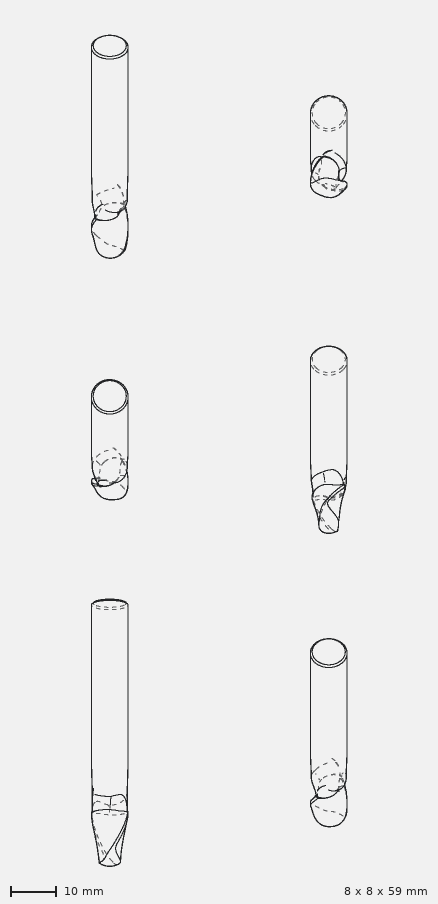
import cadquery as cq
import math

overall_length = 59.0
shank_diameter = 8.0
shank_radius = shank_diameter / 2
top_chamfer = 0.4

cutter_length = 12.05
neck_top = 17.0
taper_top = 23.0
neck_radius = 3.85

helix_angle = 30.0
helix_pitch = math.pi * shank_diameter / math.tan(math.radians(helix_angle))
cutter_twist = 360 * cutter_length / helix_pitch

land_start_angle = 8.0
land_end_angle = 18.0
back_bulge = (2.6, -0.7)
flute_shoulder = (2.2, 0.8)
rake_root = (1.2, 1.9)
rake_middle = (0.35, 2.55)
rake_edge = (-0.1, 3.25)

runout_radius = 3.35
runout_axis_x = back_bulge[0] + runout_radius
runout_tilt = 27.0
runout_heel = (0.55, -3.9)
runout_angle = 90
flute_margin = 1.2
flute_count = 2


def land_point(angle, radius):
    """Point at an angle from -Y towards +X."""
    turn = math.radians(angle)
    return (radius * math.sin(turn), -radius * math.cos(turn))


def opposite(point):
    return (-point[0], -point[1])


land_start = land_point(land_start_angle, shank_radius)
land_end = land_point(land_end_angle, shank_radius)
land_middle = land_point((land_start_angle + land_end_angle) / 2, shank_radius)


def add_flute_side(sketch, place):
    """Draw from the heel behind one land along the flute to the next cutting edge."""
    return (
        sketch.threePointArc(place(back_bulge), place(flute_shoulder))
        .lineTo(*place(rake_root))
        .threePointArc(place(rake_middle), place(rake_edge))
        .lineTo(*place(opposite(land_start)))
    )


def same(point):
    return point


def make_cutter():
    section = cq.Workplane("XY").moveTo(*land_start)
    for place in (same, opposite):
        section = section.threePointArc(place(land_middle), place(land_end))
        section = add_flute_side(section, place)
    fluted_bar = (
        section.close()
        .twistExtrude(cutter_length, cutter_twist)
        .rotate((0, 0, 0), (0, 0, 1), -cutter_twist)
    )
    ball_envelope = (
        cq.Workplane("XZ")
        .moveTo(0, 0)
        .threePointArc(
            (shank_radius * math.sqrt(0.5), shank_radius * (1 - math.sqrt(0.5))),
            (shank_radius, shank_radius),
        )
        .lineTo(shank_radius, cutter_length)
        .lineTo(0, cutter_length)
        .close()
        .revolve(360, (0, 0, 0), (0, 1, 0))
    )
    return fluted_bar.intersect(ball_envelope)


def make_flute_runout():
    """Void of the +X flute, swept upwards and outwards about the runout axis."""
    outer_y = shank_radius + flute_margin
    axis_shift = outer_y * math.tan(math.radians(runout_tilt))
    axis_start = (runout_axis_x + axis_shift, -outer_y)
    axis_end = (runout_axis_x - axis_shift, outer_y)
    void = cq.Workplane("XY").workplane(offset=cutter_length)
    void = void.moveTo(*axis_start).lineTo(runout_heel[0], -outer_y).lineTo(*runout_heel)
    return (
        add_flute_side(void, same)
        .lineTo(-land_start[0], outer_y)
        .lineTo(*axis_end)
        .close()
        .revolve(runout_angle, axis_start, axis_end)
    )


def make_shank():
    shank = (
        cq.Workplane("XZ")
        .moveTo(0, cutter_length)
        .lineTo(neck_radius, cutter_length)
        .lineTo(neck_radius, neck_top)
        .lineTo(shank_radius, taper_top)
        .lineTo(shank_radius, overall_length - top_chamfer)
        .lineTo(shank_radius - top_chamfer, overall_length)
        .lineTo(0, overall_length)
        .close()
        .revolve(360, (0, 0, 0), (0, 1, 0))
    )
    runout = make_flute_runout()
    for index in range(flute_count):
        shank = shank.cut(runout.rotate((0, 0, 0), (0, 0, 1), index * 360 / flute_count))
    return shank


cutter = make_cutter()
shank = make_shank()
result = cq.Compound.makeCompound([cutter.val(), shank.val()])